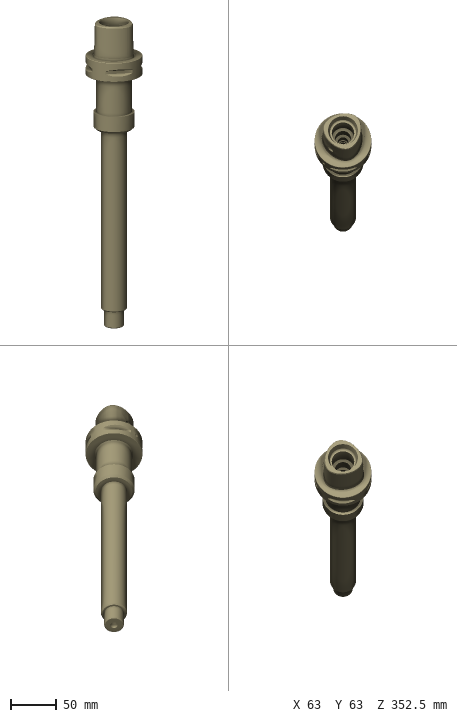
import cadquery as cq
import math

TOTAL_LENGTH = 352.5
SHANK_HEIGHT = 38.0
FLANGE_HEIGHT = 22.0
COLLAR_HEIGHT = 19.7
TIP_LENGTH = 19.7
COLLAR_BOTTOM = 229.5
COLLAR_TOP = COLLAR_BOTTOM + COLLAR_HEIGHT
FLANGE_TOP = TOTAL_LENGTH - SHANK_HEIGHT
FLANGE_BOTTOM = FLANGE_TOP - FLANGE_HEIGHT

FLANGE_DIAMETER = 63.0
NECK_DIAMETER = 40.0
COLLAR_DIAMETER = 46.0
STEM_DIAMETER = 29.0
TIP_DIAMETER = 22.0
FLANGE_CHAMFER = 0.5
NECK_ROOT_SIZE = 1.5
COLLAR_CHAMFER = 2.5
STEM_CHAMFER = 1.5
TIP_CHAMFER = 1.0

SHANK_BASE_DIAMETER = 44.0
SHANK_BASE_RADIUS = SHANK_BASE_DIAMETER / 2
SHANK_TAPER = 1 / 40
LOBE_HEIGHT = 1.25
LOBE_COUNT = 3
LOBE_HALF_ANGLE = 25.0
POINTS_PER_FACE = 9
RIM_HEIGHT = 1.5
RIM_INSET = 0.7
FLARE_HEIGHT = 1.8
FLARE_WIDTH = 0.7

RECESS_DIAMETER = 48.3
RECESS_DEPTH = 0.7

MOUTH_DIAMETER = 33.0
THROAT_DIAMETER = 29.0
THROAT_DEPTH = 7.0
RELIEF_DIAMETER = 32.0
RELIEF_DEPTH = 10.5
BORE_STEPS = [(25.0, 31.7), (18.0, 46.0), (12.0, 56.5), (10.0, 60.0)]
THROUGH_DIAMETER = 8.0

GROOVE_COUNT = 4
FIRST_GROOVE_ANGLE = 45.0
GROOVE_FLOOR_DISTANCE = 27.5
GROOVE_FLOOR_WIDTH = 3.5
GROOVE_SIDE_ANGLE = 30.0
GROOVE_OVERCUT = 3.5
GROOVE_DROP = 11.5
GROOVE_Z = FLANGE_TOP - GROOVE_DROP

DIMPLE_DIAMETER = 8.5
DIMPLE_DROP = 22.5
RIM_HOLE_DIAMETER = 4.0
RIM_HOLE_DEPTH = 1.8


def disk(diameter, bottom, height):
    """Solid cylinder on the Z axis."""
    return cq.Workplane("XY").workplane(offset=bottom).circle(diameter / 2).extrude(height)


def cone(bottom_diameter, top_diameter, bottom, height):
    """Solid cone frustum on the Z axis."""
    base_point = cq.Vector(0, 0, bottom)
    return cq.Workplane(cq.Solid.makeCone(bottom_diameter / 2, top_diameter / 2, height, pnt=base_point))


def make_round_body():
    """Flange, neck, collar, stem and tip stacked along Z."""
    flange = disk(FLANGE_DIAMETER, FLANGE_BOTTOM, FLANGE_HEIGHT).edges().chamfer(FLANGE_CHAMFER)
    neck = disk(NECK_DIAMETER, COLLAR_TOP, FLANGE_BOTTOM - COLLAR_TOP)
    neck_root = cone(NECK_DIAMETER, NECK_DIAMETER + 2 * NECK_ROOT_SIZE,
                     FLANGE_BOTTOM - NECK_ROOT_SIZE, NECK_ROOT_SIZE)
    collar = disk(COLLAR_DIAMETER, COLLAR_BOTTOM, COLLAR_HEIGHT).faces("<Z").chamfer(COLLAR_CHAMFER)
    stem = disk(STEM_DIAMETER, TIP_LENGTH, COLLAR_BOTTOM - TIP_LENGTH).faces("<Z").chamfer(STEM_CHAMFER)
    tip = disk(TIP_DIAMETER, 0, TIP_LENGTH).faces("<Z").chamfer(TIP_CHAMFER)
    return flange.union(neck).union(neck_root).union(collar).union(stem).union(tip)


def lobed_point(angle, mean_radius, z):
    """Point of the constant-width three-lobed curve where its normal has this angle."""
    reach = mean_radius + LOBE_HEIGHT * math.cos(LOBE_COUNT * angle)
    slip = -LOBE_COUNT * LOBE_HEIGHT * math.sin(LOBE_COUNT * angle)
    x = reach * math.cos(angle) - slip * math.sin(angle)
    y = reach * math.sin(angle) + slip * math.cos(angle)
    return cq.Vector(x, y, z)


def lobed_wire(mean_radius, z):
    """Closed outline of lobe faces alternating with flatter faces."""
    pitch = 360 / LOBE_COUNT
    edges = []
    for lobe in range(LOBE_COUNT):
        lobe_start = lobe * pitch - LOBE_HALF_ANGLE
        lobe_end = lobe * pitch + LOBE_HALF_ANGLE
        for start, end in [(lobe_start, lobe_end), (lobe_end, lobe_start + pitch)]:
            step = (end - start) / (POINTS_PER_FACE - 1)
            angles = [math.radians(start + i * step) for i in range(POINTS_PER_FACE)]
            edges.append(cq.Edge.makeSpline([lobed_point(a, mean_radius, z) for a in angles]))
    return cq.Wire.assembleEdges(edges)


def make_shank():
    """Tapered lobed shank with a beveled rim, flaring into the ring recess."""
    root_z = FLANGE_TOP - RECESS_DEPTH
    rim_z = TOTAL_LENGTH - RIM_HEIGHT
    flare_z = FLANGE_TOP + FLARE_HEIGHT
    flare_radius = SHANK_BASE_RADIUS - FLARE_HEIGHT * SHANK_TAPER
    rim_radius = SHANK_BASE_RADIUS - (rim_z - FLANGE_TOP) * SHANK_TAPER
    root = lobed_wire(flare_radius + FLARE_WIDTH, root_z)
    flare_top = lobed_wire(flare_radius, flare_z)
    rim = lobed_wire(rim_radius, rim_z)
    top = lobed_wire(rim_radius - RIM_INSET, TOTAL_LENGTH)
    flare = cq.Workplane(cq.Solid.makeLoft([root, flare_top], True))
    taper = cq.Workplane(cq.Solid.makeLoft([flare_top, rim], True))
    bevel = cq.Workplane(cq.Solid.makeLoft([rim, top], True))
    return flare.union(taper).union(bevel)


def make_recess():
    """Disk removed from the flange top before the shank is added."""
    return disk(RECESS_DIAMETER, FLANGE_TOP - RECESS_DEPTH, RECESS_DEPTH)


def make_bore():
    """Tapered mouth, relief groove, stepped bore and the through hole along the axis."""
    bore = disk(THROUGH_DIAMETER, 0, TOTAL_LENGTH)
    for diameter, depth in BORE_STEPS:
        bore = bore.union(disk(diameter, TOTAL_LENGTH - depth, depth))
    relief = disk(RELIEF_DIAMETER, TOTAL_LENGTH - RELIEF_DEPTH, RELIEF_DEPTH - THROAT_DEPTH)
    mouth = cone(THROAT_DIAMETER, MOUTH_DIAMETER, TOTAL_LENGTH - THROAT_DEPTH, THROAT_DEPTH)
    return bore.union(relief).union(mouth)


def make_groove(angle):
    """Straight V groove with a flat floor, cut across the flange rim."""
    outer = FLANGE_DIAMETER / 2 + GROOVE_OVERCUT
    floor_half = GROOVE_FLOOR_WIDTH / 2
    spread = (outer - GROOVE_FLOOR_DISTANCE) * math.tan(math.radians(GROOVE_SIDE_ANGLE))
    outer_half = floor_half + spread
    profile = [
        (GROOVE_FLOOR_DISTANCE, GROOVE_Z - floor_half),
        (outer, GROOVE_Z - outer_half),
        (outer, GROOVE_Z + outer_half),
        (GROOVE_FLOOR_DISTANCE, GROOVE_Z + floor_half),
    ]
    groove = cq.Workplane("XZ").polyline(profile).close()
    groove = groove.extrude(FLANGE_DIAMETER / 2, both=True)
    return groove.rotate((0, 0, 0), (0, 0, 1), angle)


def make_dimple():
    """Hemispherical dimple in the flatter -X face of the shank."""
    z = TOTAL_LENGTH - DIMPLE_DROP
    taper_loss = (z - FLANGE_TOP) * SHANK_TAPER
    surface_x = -(SHANK_BASE_RADIUS - LOBE_HEIGHT - taper_loss)
    return cq.Workplane("XY").sphere(DIMPLE_DIAMETER / 2).translate((surface_x, 0, z))


def make_rim_hole():
    """Small blind hole in the flange rim on the -X side."""
    hole = cq.Workplane("YZ").workplane(offset=-FLANGE_DIAMETER / 2)
    return hole.center(0, GROOVE_Z).circle(RIM_HOLE_DIAMETER / 2).extrude(RIM_HOLE_DEPTH)


result = make_round_body().cut(make_recess()).union(make_shank())
result = result.cut(make_bore()).cut(make_dimple()).cut(make_rim_hole())
for index in range(GROOVE_COUNT):
    result = result.cut(make_groove(FIRST_GROOVE_ANGLE + index * 360 / GROOVE_COUNT))